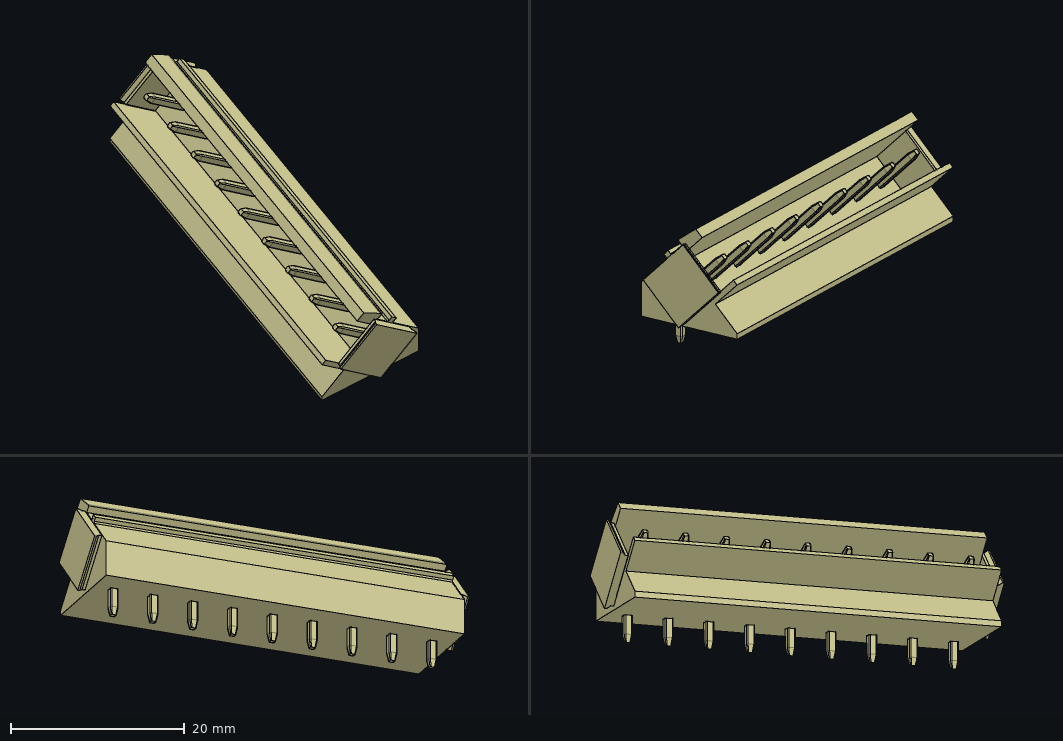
import cadquery as cq
import math


overall_length = 47.0
housing_length = 44.95
pin_count = 9
pin_pitch = housing_length / pin_count

base_back_y = 5.85
base_front_y = -7.45
foot_slope_depth = 5.8

socket_floor = 1.9
socket_mouth = 10.0
lower_wall_outside = -0.5
lower_wall_inside = 0.2
upper_wall_inside = 6.3
back_face = 7.15

rib_start = 4.0
rib_end = 4.85
rib_height = 7.85
rib_root_chamfer = 0.2
flange_start = 6.9
flange_flat = 0.38
flange_height = 8.0
flange_mouth_height = 7.55

plate_rim = 0.25
plate_bevel = 0.4
plate_depth_min = 0.15
plate_depth_max = 7.95
plate_height_min = 0.1
plate_height_max = 7.05

pin_width = 1.0
pin_edge_chamfer = 0.15
pin_tip_width = 0.6
pin_tip_length = 0.95
pin_leg_y = 2.0
pin_leg_end_z = -3.2
pin_contact_height = 3.3
pin_contact_end = 9.02


def tilted(depth, height):
    """The (y, z) position of a (depth, height) position in the tilted socket."""
    return ((height - depth) / math.sqrt(2), (height + depth) / math.sqrt(2))


def z_at_depth(depth, y):
    """Height above the underside at which the plane of constant depth passes through y."""
    return depth * math.sqrt(2) + y


def z_at_height(height, y):
    """Height above the underside at which the plane of constant height passes through y."""
    return height * math.sqrt(2) - y


def make_profile_bar():
    """The housing's cross-section, extruded along the row."""
    outline = [
        (base_back_y, 0),
        (base_front_y, 0),
        (base_front_y, z_at_depth(foot_slope_depth, base_front_y)),
        tilted(foot_slope_depth, lower_wall_outside),
        tilted(socket_mouth, lower_wall_outside),
        tilted(socket_mouth, lower_wall_inside),
        tilted(socket_floor, lower_wall_inside),
        tilted(socket_floor, upper_wall_inside),
        tilted(socket_mouth, upper_wall_inside),
        tilted(socket_mouth, flange_mouth_height),
        tilted(flange_start + flange_flat, flange_height),
        tilted(flange_start, flange_height),
        tilted(flange_start, back_face),
        tilted(rib_end + rib_root_chamfer, back_face),
        tilted(rib_end, back_face + rib_root_chamfer),
        tilted(rib_end, rib_height),
        tilted(rib_start, rib_height),
        tilted(rib_start, back_face + rib_root_chamfer),
        tilted(rib_start - rib_root_chamfer, back_face),
        (base_back_y, z_at_height(back_face, base_back_y)),
    ]
    return cq.Workplane("YZ").polyline(outline).close().extrude(housing_length / 2, both=True)


def make_end_plate(side):
    """The dovetail-edged plate that closes one end of the socket (side is -1 or 1)."""
    inner_x = side * housing_length / 2
    outer_x = side * overall_length / 2
    rim_x = outer_x - side * plate_rim
    neck_x = rim_x - side * plate_bevel
    neck_min = plate_depth_min + plate_bevel
    neck_max = plate_depth_max - plate_bevel
    section = [
        (inner_x, neck_min),
        (neck_x, neck_min),
        (rim_x, plate_depth_min),
        (outer_x, plate_depth_min),
        (outer_x, plate_depth_max),
        (rim_x, plate_depth_max),
        (neck_x, neck_max),
        (inner_x, neck_max),
    ]
    upper_side = cq.Plane(origin=(0, *tilted(0, plate_height_max)), xDir=(1, 0, 0), normal=(0, -1, -1))
    plate = cq.Workplane(upper_side).polyline(section).close()
    return plate.extrude(plate_height_max - plate_height_min)


def pin_corners(width):
    """Corners of the pin's section, a square with chamfered corners, at a given width."""
    half = width / 2
    flat = half - pin_edge_chamfer * width / pin_width
    return [
        (half, -flat),
        (half, flat),
        (flat, half),
        (-flat, half),
        (-half, flat),
        (-half, -flat),
        (-flat, -half),
        (flat, -half),
    ]


def make_pin_tip(shoulder, direction):
    """The tapered end of a pin, running from its shoulder (y, z) along a direction."""
    plane = cq.Plane(origin=(0, *shoulder), xDir=(1, 0, 0), normal=direction)
    wide_end = cq.Workplane(plane).polyline(pin_corners(pin_width)).close()
    narrow_end = wide_end.workplane(offset=pin_tip_length).polyline(pin_corners(pin_tip_width)).close()
    return narrow_end.loft(ruled=True)


def make_pin():
    """One bent pin at x = 0: a leg straight down and a contact along the socket, mitred where they meet."""
    leg_shoulder = (pin_leg_y, pin_leg_end_z + pin_tip_length)
    bend = (pin_leg_y, z_at_height(pin_contact_height, pin_leg_y))
    contact_shoulder = tilted(pin_contact_end - pin_tip_length, pin_contact_height)
    path = cq.Workplane("YZ").polyline([leg_shoulder, bend, contact_shoulder])
    leg_start = cq.Workplane("XY", origin=(0, *leg_shoulder))
    shaft = leg_start.polyline(pin_corners(pin_width)).close().sweep(path, transition="right")
    leg_tip = make_pin_tip(leg_shoulder, (0, 0, -1))
    contact_tip = make_pin_tip(contact_shoulder, (0, -1, 1))
    return shaft.union(leg_tip).union(contact_tip)


def make_housing(pins):
    """The extruded bar with its two end plates and a matching hole for each pin."""
    housing = make_profile_bar()
    for side in (-1, 1):
        housing = housing.union(make_end_plate(side))
    for pin in pins:
        housing = housing.cut(pin)
    return housing


single_pin = make_pin()
pins = []
for index in range(pin_count):
    pin_x = (index - (pin_count - 1) / 2) * pin_pitch
    pins.append(single_pin.translate((pin_x, 0, 0)))

housing = make_housing(pins)

result = cq.Compound.makeCompound([housing.val(), *[pin.val() for pin in pins]])